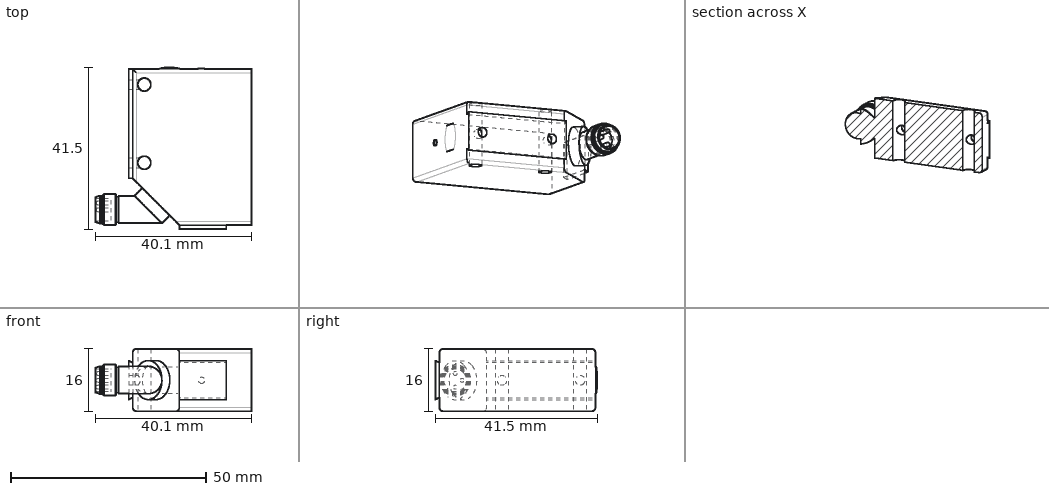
import cadquery as cq
import math

BODY_LENGTH = 30.5
BODY_WIDTH = 40.0
BODY_HEIGHT = 16.0
EDGE_RADIUS = 1.0
CORNER_CUT = 12.0

PLATE_THICKNESS = 1.0
PLATE_OUTER_HEIGHT = 10.0
PLATE_ROOT_HEIGHT = 9.0
FRONT_PLATE_LENGTH = 12.0

MOUNT_HOLE_DIAMETER = 3.3
MOUNT_HOLE_X = 3.0
SIDE_HOLE_DIAMETER = 2.46
HOLE_Y_POSITIONS = (16.0, 36.0)

LENS_WIDTH = 5.8
LENS_SPAN = 6.8
LENS_RISE = 0.5
LENS_LONG_RADIUS = 20.0
LENS_X = 9.5
LED_DIAMETER = 1.6
LED_HEIGHT = 0.2
LED_X = 17.6

BOSS_DIAMETER = 10.0
PLUG_AXIS_Y = 4.0
BOSS_BASE = CORNER_CUT / 2
BOSS_FACE = PLUG_AXIS_Y
BOSS_HEIGHT = (BOSS_BASE - BOSS_FACE) * math.sqrt(2)

PLUG_TIP_X = -9.58
TIP_RADIUS = 6.4 / 2
LIP_RADIUS = 7.2 / 2
GROOVE_RADIUS = 6.6 / 2
COLLAR_RADIUS = 8.0 / 2
SLEEVE_RADIUS = 7.0 / 2
TIP_LAND = 0.15
LIP_START = 1.2
LIP_END = 1.5
COLLAR_START = 2.0
COLLAR_END = 5.45
COLLAR_CHAMFER = 0.3
SLEEVE_START = 5.9
SLEEVE_CHAMFER = SLEEVE_RADIUS - GROOVE_RADIUS
BORE_DIAMETER = 5.8
BORE_DEPTH = 4.0

PIN_DIAMETER = 1.0
PIN_NOSE_RADIUS = 0.49
PIN_OFFSET = 1.75
PIN_TIP_DEPTH = 0.25


def make_body():
    body = cq.Workplane("XY").box(BODY_LENGTH, BODY_WIDTH, BODY_HEIGHT, centered=(False, False, True))
    body = body.edges("|X or (|Y and <X)").fillet(EDGE_RADIUS)
    corner = (
        cq.Workplane("XY")
        .polyline([(0, 0), (CORNER_CUT, 0), (0, CORNER_CUT)])
        .close()
        .extrude(BODY_HEIGHT, both=True)
    )
    return body.cut(corner)


def dovetail(plane, length):
    """Plate along the plane normal, widening toward local -X from a root on the local Y axis."""
    root = PLATE_ROOT_HEIGHT / 2
    outer = PLATE_OUTER_HEIGHT / 2
    return (
        cq.Workplane(plane)
        .polyline([(0, -root), (-PLATE_THICKNESS, -outer), (-PLATE_THICKNESS, outer), (0, root)])
        .close()
        .extrude(length)
    )


def make_plates():
    left_plane = cq.Plane(origin=(0, BODY_WIDTH, 0), xDir=(1, 0, 0), normal=(0, -1, 0))
    front_plane = cq.Plane(origin=(CORNER_CUT, 0, 0), xDir=(0, 1, 0), normal=(1, 0, 0))
    left_plate = dovetail(left_plane, BODY_WIDTH - CORNER_CUT)
    front_plate = dovetail(front_plane, FRONT_PLATE_LENGTH)
    return left_plate.union(front_plate)


def make_holes():
    mount_holes = (
        cq.Workplane("XY")
        .pushPoints([(MOUNT_HOLE_X, y) for y in HOLE_Y_POSITIONS])
        .circle(MOUNT_HOLE_DIAMETER / 2)
        .extrude(BODY_HEIGHT, both=True)
    )
    side_holes = (
        cq.Workplane("YZ", origin=(-PLATE_THICKNESS, 0, 0))
        .pushPoints([(y, 0) for y in HOLE_Y_POSITIONS])
        .circle(SIDE_HOLE_DIAMETER / 2)
        .extrude(PLATE_THICKNESS + MOUNT_HOLE_X)
    )
    return mount_holes.union(side_holes)


def make_lens():
    """Barrel-shaped lens, curved across X and more gently along Z, with flat ends in Z."""
    half_width = LENS_WIDTH / 2
    barrel_axis_y = LENS_RISE - LENS_LONG_RADIUS
    barrel = (
        cq.Workplane("XY")
        .moveTo(-half_width, barrel_axis_y)
        .lineTo(-half_width, 0)
        .threePointArc((0, LENS_RISE), (half_width, 0))
        .lineTo(half_width, barrel_axis_y)
        .close()
        .revolve(360, (0, barrel_axis_y), (1, barrel_axis_y))
    )
    block = cq.Workplane("XY").box(LENS_WIDTH, 2 * LENS_RISE, LENS_SPAN)
    return barrel.intersect(block).translate((LENS_X, BODY_WIDTH, 0))


def make_led():
    """Low disc on the back side, sunk into the housing by its own height."""
    return (
        cq.Workplane("XZ", origin=(LED_X, BODY_WIDTH + LED_HEIGHT, 0))
        .circle(LED_DIAMETER / 2)
        .extrude(2 * LED_HEIGHT)
    )


def make_boss():
    base_plane = cq.Plane(origin=(BOSS_BASE, BOSS_BASE, 0), xDir=(0, 0, 1), normal=(-1, -1, 0))
    return cq.Workplane(base_plane).circle(BOSS_DIAMETER / 2).extrude(BOSS_HEIGHT)


def make_plug():
    sleeve_length = CORNER_CUT - PLUG_TIP_X
    collar_edge = COLLAR_RADIUS - COLLAR_CHAMFER
    profile = [
        (0, 0),
        (0, TIP_RADIUS),
        (TIP_LAND, TIP_RADIUS),
        (LIP_START, LIP_RADIUS),
        (LIP_END, LIP_RADIUS),
        (LIP_END, GROOVE_RADIUS),
        (COLLAR_START, GROOVE_RADIUS),
        (COLLAR_START, collar_edge),
        (COLLAR_START + COLLAR_CHAMFER, COLLAR_RADIUS),
        (COLLAR_END - COLLAR_CHAMFER, COLLAR_RADIUS),
        (COLLAR_END, collar_edge),
        (COLLAR_END, GROOVE_RADIUS),
        (SLEEVE_START, GROOVE_RADIUS),
        (SLEEVE_START + SLEEVE_CHAMFER, SLEEVE_RADIUS),
        (sleeve_length, SLEEVE_RADIUS),
        (sleeve_length, 0),
    ]
    plug = cq.Workplane("XY").polyline(profile).close().revolve(360, (0, 0), (1, 0))
    plug = plug.translate((PLUG_TIP_X, PLUG_AXIS_Y, 0))

    face_plane = cq.Plane(origin=(BOSS_FACE, BOSS_FACE, 0), xDir=(0, 0, 1), normal=(1, 1, 0))
    beyond_face = cq.Workplane(face_plane).rect(BODY_WIDTH, BODY_WIDTH).extrude(BODY_WIDTH)
    bore = (
        cq.Workplane("YZ", origin=(PLUG_TIP_X, PLUG_AXIS_Y, 0))
        .circle(BORE_DIAMETER / 2)
        .extrude(BORE_DEPTH)
    )
    return plug.cut(beyond_face).cut(bore)


def make_pins():
    """Three round-nosed pins standing on the floor of the bore."""
    pin_length = BORE_DEPTH - PIN_TIP_DEPTH + PIN_DIAMETER
    pins = (
        cq.Workplane("YZ", origin=(PLUG_TIP_X + PIN_TIP_DEPTH, PLUG_AXIS_Y, 0))
        .pushPoints([(0, PIN_OFFSET), (0, -PIN_OFFSET), (PIN_OFFSET, 0)])
        .circle(PIN_DIAMETER / 2)
        .extrude(pin_length)
    )
    return pins.faces("<X").edges().fillet(PIN_NOSE_RADIUS)


result = (
    make_body()
    .union(make_plates())
    .cut(make_holes())
    .union(make_lens())
    .union(make_led())
    .union(make_boss())
    .union(make_plug())
    .union(make_pins())
)